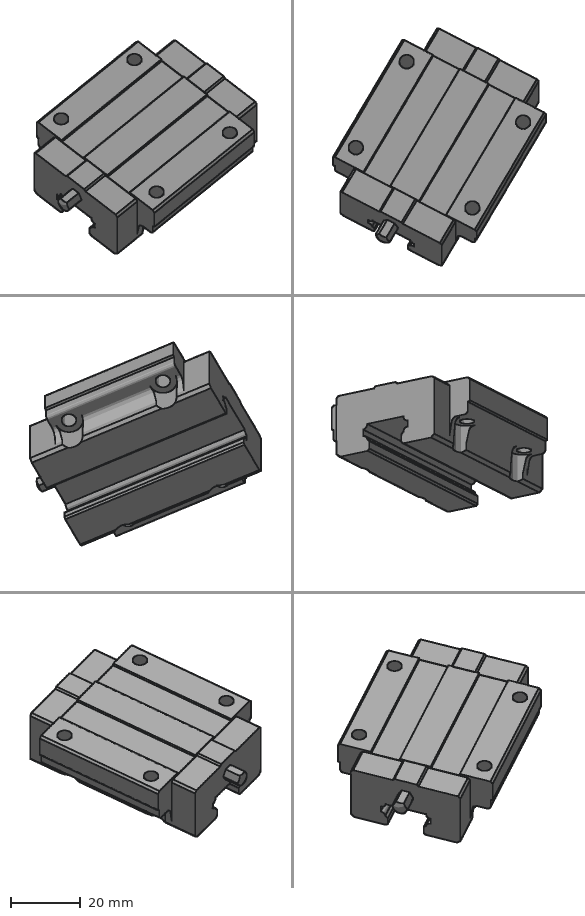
import cadquery as cq

total_length = 63.0
block_length = 40.95
cap_length = 8.1
carriage_length = block_length + 2 * cap_length
carriage_front_y = -carriage_length / 2
nipple_length = total_length - carriage_length

block_width = 47.0
block_height = 19.3
top_recess_depth = 0.55
top_chamfer = 0.7
pad_side_run = 0.2
center_pad_half_width = 4.65
flange_pad_inner_x = 13.55
side_step_z = 12.15
side_step_depth = 0.6
side_step_rise = 0.4
flange_bottom_z = 8.2
flange_edge_radius = 1.15
flange_root_x = 17.6
flange_root_radius = 1.7

cap_width = 33.25
cap_half_width = cap_width / 2
cap_shoulder_z = 18.5
cap_pad_z = 19.1
cap_pad_half_width = 3.4
cap_pad_side_run = 0.5
cap_top_chamfer = 0.7
foot_chamfer_x = 1.1
foot_chamfer_z = 0.95
skirt_height = 2.85

channel_mouth_half_width = 5.4
mouth_chamfer = 0.55
channel_roof_z = 8.2
groove_half_width = 7.55
groove_center_z = 5.8
groove_height = 1.9
ball_row_half_width = 6.2
ball_row_spread = 4.4
ball_row_bulge_half_width = 6.6
ball_row_bulge_spread = 2.65

hole_diameter = 4.15
hole_spacing_x = 38.05
hole_spacing_y = 30.0
clearance_diameter = 8.05

screw_head_diameter = 5.1
screw_head_depth = 1.25
screw_head_x = 7.0
nipple_z = 13.3
nipple_across_corners = 4.7
nipple_dome_radius = 3.35


def mirrored(right_half):
    """Close a right-hand half outline with its mirror image about the YZ plane."""
    return right_half + [(-x, z) for x, z in reversed(right_half)]


def prism(outline, length):
    """Extrude an XZ outline along Y, centred on Y = 0."""
    return cq.Workplane("XZ").polyline(outline).close().extrude(length / 2, both=True)


def make_flanged_block():
    half_width = block_width / 2
    recess_z = block_height - top_recess_depth
    lower_side_x = half_width - side_step_depth
    body = prism(
        mirrored([
            (center_pad_half_width, block_height),
            (center_pad_half_width + pad_side_run, recess_z),
            (flange_pad_inner_x - pad_side_run, recess_z),
            (flange_pad_inner_x, block_height),
            (half_width - top_chamfer, block_height),
            (half_width, block_height - top_chamfer),
            (half_width, side_step_z),
            (lower_side_x, side_step_z - side_step_rise),
            (lower_side_x, flange_bottom_z),
            (flange_root_x, flange_bottom_z),
            (cap_half_width, skirt_height),
        ]),
        block_length,
    )
    for corner_x, radius in ((lower_side_x, flange_edge_radius), (flange_root_x, flange_root_radius)):
        for side in (-1, 1):
            corner = cq.NearestToPointSelector((side * corner_x, 0, flange_bottom_z))
            body = body.edges("|Y").edges(corner).fillet(radius)
    return body


def make_caps_and_skirts():
    """Full-length cap section, left open above the skirts where the block sits."""
    body = prism(
        mirrored([
            (cap_pad_half_width, cap_pad_z),
            (cap_pad_half_width + cap_pad_side_run, cap_shoulder_z),
            (cap_half_width - cap_top_chamfer, cap_shoulder_z),
            (cap_half_width, cap_shoulder_z - cap_top_chamfer),
            (cap_half_width, foot_chamfer_z),
            (cap_half_width - foot_chamfer_x, 0),
        ]),
        carriage_length,
    )
    block_space = (
        cq.Workplane("XY", origin=(0, 0, skirt_height))
        .rect(block_width, block_length)
        .extrude(block_height)
    )
    return body.cut(block_space)


def make_rail_channel():
    row_low_z = groove_center_z - ball_row_spread / 2
    row_high_z = groove_center_z + ball_row_spread / 2
    bulge_low_z = groove_center_z - ball_row_bulge_spread / 2
    bulge_high_z = groove_center_z + ball_row_bulge_spread / 2
    groove_low_z = groove_center_z - groove_height / 2
    groove_high_z = groove_center_z + groove_height / 2
    right_half = (
        cq.Workplane("XZ")
        .lineTo(channel_mouth_half_width + mouth_chamfer, 0)
        .lineTo(channel_mouth_half_width, mouth_chamfer)
        .lineTo(channel_mouth_half_width, skirt_height)
        .lineTo(ball_row_half_width, row_low_z)
        .threePointArc((ball_row_bulge_half_width, bulge_low_z), (groove_half_width, groove_low_z))
        .lineTo(groove_half_width, groove_high_z)
        .threePointArc((ball_row_bulge_half_width, bulge_high_z), (ball_row_half_width, row_high_z))
        .lineTo(ball_row_half_width, channel_roof_z)
        .lineTo(0, channel_roof_z)
        .close()
        .extrude(carriage_length / 2, both=True)
    )
    return right_half.union(right_half.mirror("YZ"))


def cylinders_at_mounting_points(diameter, height):
    """Upright cylinders rising from Z = 0 at the four mounting points."""
    return (
        cq.Workplane("XY")
        .rect(hole_spacing_x, hole_spacing_y, forConstruction=True)
        .vertices()
        .circle(diameter / 2)
        .extrude(height)
    )


def make_screw_heads():
    """Discs sunk flush into the front face of the front end cap."""
    return (
        cq.Workplane("XZ", origin=(0, carriage_front_y, nipple_z))
        .pushPoints([(-screw_head_x, 0), (screw_head_x, 0)])
        .circle(screw_head_diameter / 2)
        .extrude(-screw_head_depth)
    )


def make_carriage():
    body = make_flanged_block().union(make_caps_and_skirts())
    body = body.cut(make_rail_channel())
    body = body.cut(cylinders_at_mounting_points(clearance_diameter, flange_bottom_z))
    body = body.cut(cylinders_at_mounting_points(hole_diameter, block_height))
    return body.union(make_screw_heads(), clean=False)


def make_nipple():
    """Hexagonal nipple with a domed tip, standing on the front face along -Y."""
    hexagon = (
        cq.Workplane("XZ", origin=(0, carriage_front_y, nipple_z))
        .polygon(6, nipple_across_corners)
        .extrude(nipple_length)
    )
    domed_rod = (
        cq.Workplane("XY", origin=(0, carriage_front_y, nipple_z))
        .lineTo(nipple_dome_radius, 0)
        .lineTo(nipple_dome_radius, nipple_dome_radius - nipple_length)
        .radiusArc((0, -nipple_length), nipple_dome_radius)
        .close()
        .revolve(360, (0, 0), (0, 1))
    )
    return hexagon.intersect(domed_rod)


carriage = make_carriage()
nipple = make_nipple()
result = cq.Compound.makeCompound([carriage.val(), nipple.val()])